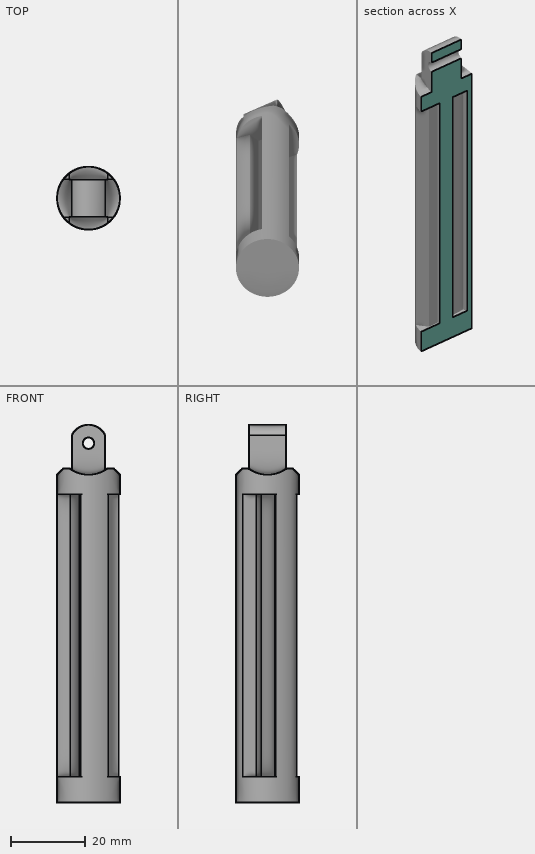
import math

import cadquery as cq

BODY_DIAMETER = 17.0
BODY_HEIGHT = 90.0
BODY_RADIUS = BODY_DIAMETER / 2

TAB_WIDTH_X = 9.0
TAB_WIDTH_Y = 10.0
TAB_TOP_Z = 101.78
TAB_ROUND_RADIUS = 5.0
PIN_DIAMETER = 3.0
PIN_Z = TAB_TOP_Z - TAB_ROUND_RADIUS

POCKET_COUNT = 3
END_CAP_HEIGHT = 7.0
POCKET_LENGTH = BODY_HEIGHT - 2 * END_CAP_HEIGHT
HEX_ACROSS_FLATS = 6.4
HEX_FLAT_SLANT = math.radians(30)
HEX_FLOOR_RADIUS = 1.9
FIRST_POCKET_ANGLE = 2.9
LIP_CORNER_RADIUS = 4.42
LIP_TILT = 7.7
OPENING_REACH = 1.5 * BODY_RADIUS


def make_body():
    """Round rod with its lower face on Z = 0."""
    return cq.Workplane("XY").circle(BODY_RADIUS).extrude(BODY_HEIGHT)


def make_end_relief():
    """Dished cuts in the top face, one pair for each horizontal axis.

    The dish is a cylinder about the pin height; the tab footprint stays whole.
    """
    along_y = cq.Workplane("XZ").center(0, PIN_Z).circle(BODY_RADIUS).extrude(BODY_RADIUS, both=True)
    along_x = cq.Workplane("YZ").center(0, PIN_Z).circle(BODY_RADIUS).extrude(BODY_RADIUS, both=True)
    beside_y = cq.Workplane("XY").rect(BODY_DIAMETER, TAB_WIDTH_Y).extrude(TAB_TOP_Z)
    beside_x = cq.Workplane("XY").rect(TAB_WIDTH_X, BODY_DIAMETER).extrude(TAB_TOP_Z)
    return along_y.cut(beside_y).union(along_x.cut(beside_x))


def make_tab():
    """Flat-sided tab with a domed top and a cross hole along Y."""
    half_width = TAB_WIDTH_X / 2
    shoulder_z = PIN_Z + math.sqrt(TAB_ROUND_RADIUS**2 - half_width**2)
    base_z = BODY_HEIGHT - END_CAP_HEIGHT
    tab = (
        cq.Workplane("XZ")
        .moveTo(-half_width, base_z)
        .lineTo(half_width, base_z)
        .lineTo(half_width, shoulder_z)
        .threePointArc((0, TAB_TOP_Z), (-half_width, shoulder_z))
        .close()
        .extrude(TAB_WIDTH_Y / 2, both=True)
    )
    pin_hole = (
        cq.Workplane("XZ").center(0, PIN_Z).circle(PIN_DIAMETER / 2).extrude(TAB_WIDTH_Y, both=True)
    )
    return tab.cut(pin_hole)


def make_pocket():
    """Pocket pointing along +X: four flats of a hexagon and a slanted lip."""
    side = HEX_ACROSS_FLATS / math.sqrt(3)
    hex_center = HEX_FLOOR_RADIUS + HEX_ACROSS_FLATS / 2
    flat_slope = math.tan(HEX_FLAT_SLANT)
    lip_angle = math.radians(LIP_TILT - 90)

    lip_corner = (
        LIP_CORNER_RADIUS,
        -side / 2 - (LIP_CORNER_RADIUS - HEX_FLOOR_RADIUS) * flat_slope,
    )
    lip_end = (
        lip_corner[0] + OPENING_REACH * math.cos(lip_angle),
        lip_corner[1] + OPENING_REACH * math.sin(lip_angle),
    )
    flat_end = (
        hex_center + OPENING_REACH * math.cos(HEX_FLAT_SLANT),
        side - OPENING_REACH * math.sin(HEX_FLAT_SLANT),
    )
    return (
        cq.Workplane("XY", origin=(0, 0, END_CAP_HEIGHT))
        .polyline(
            [
                lip_corner,
                (HEX_FLOOR_RADIUS, -side / 2),
                (HEX_FLOOR_RADIUS, side / 2),
                (hex_center, side),
                flat_end,
                lip_end,
            ]
        )
        .close()
        .extrude(POCKET_LENGTH)
    )


result = make_body().cut(make_end_relief()).union(make_tab())

pocket = make_pocket()
for index in range(POCKET_COUNT):
    angle = FIRST_POCKET_ANGLE + index * 360 / POCKET_COUNT
    result = result.cut(pocket.rotate((0, 0, 0), (0, 0, 1), angle))